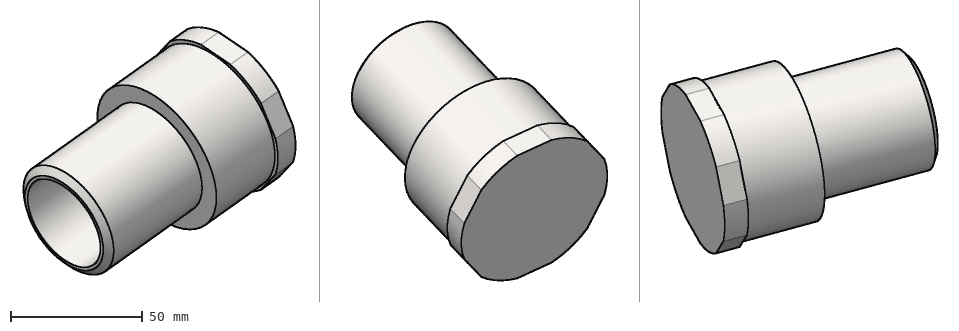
import cadquery as cq

total_length = 92.2
collar_diameter = 66.8
collar_across_flats = 65.0
collar_length = 9.7
body_diameter = 63.5
shoulder_to_back = 41.6
spigot_diameter = 48.2
tip_diameter = 41.8
tip_chamfer_length = 2.4
bore_diameter = 38.8
floor_thickness = 9.7

front_y = -total_length / 2
back_y = total_length / 2
flat_count = 6
half_flat_angle = 180 / flat_count


def cylinder_along_y(diameter, start_y, end_y):
    plane = cq.Workplane("XZ", origin=(0, end_y, 0))
    return plane.circle(diameter / 2).extrude(end_y - start_y)


def make_collar():
    """Round collar trimmed by six flats, two of them facing up and down."""
    start_y = back_y - collar_length
    disc = cylinder_along_y(collar_diameter, start_y, back_y)
    hexagon = (
        cq.Workplane("XZ", origin=(0, back_y, 0))
        .polygon(flat_count, collar_across_flats, circumscribed=True)
        .extrude(collar_length)
        .rotate((0, 0, 0), (0, 1, 0), half_flat_angle)
    )
    return disc.intersect(hexagon)


def make_spigot():
    """Slim end with a chamfered tip, turned from a half profile in the XY plane."""
    return (
        cq.Workplane("XY")
        .moveTo(0, front_y)
        .lineTo(tip_diameter / 2, front_y)
        .lineTo(spigot_diameter / 2, front_y + tip_chamfer_length)
        .lineTo(spigot_diameter / 2, back_y)
        .lineTo(0, back_y)
        .close()
        .revolve(360, (0, 0, 0), (0, 1, 0))
    )


body = cylinder_along_y(body_diameter, back_y - shoulder_to_back, back_y)
bore = cylinder_along_y(bore_diameter, front_y, back_y - floor_thickness)
result = make_collar().union(body).union(make_spigot()).cut(bore)